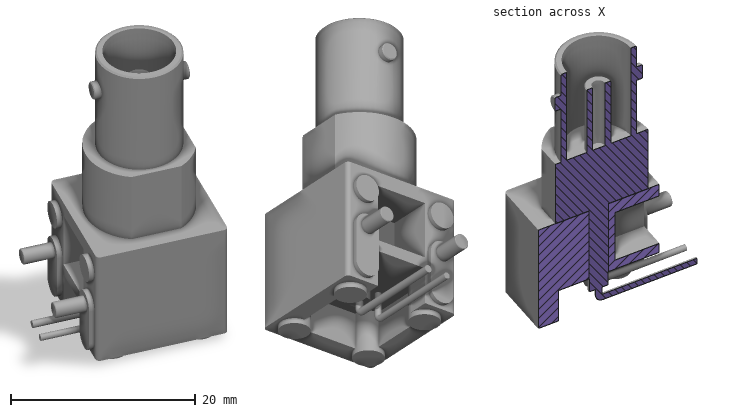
import cadquery as cq
import math


block_width = 14.75
block_depth = 15.2
block_height = 14.12
block_edge_radius = 0.5
foot_height = 0.6
block_top = foot_height + block_height
front_y = -block_depth / 2

corner_offset = 5.05
post_diameter = 3.58

peg_offset = 5.08
pad_diameter = 3.07
pad_thickness = 0.6
round_pad_z = 11.87
peg_z = 7.08
slot_pad_low_z = 2.57
peg_diameter = 1.8
peg_length = 4.15
peg_chamfer = 0.07

window_width = 6.4
window_bottom = 6.3
window_top = 13.0
window_depth = 5.55
cavity_top = 4.95

neck_radius = 6.2
neck_flat_offset = 5.47
neck_height = 8.47
overall_height = 35.75
barrel_diameter = 9.58
barrel_bore_diameter = 8.0
barrel_chamfer = 0.18
lug_diameter = 2.0
lug_span = 11.05
lug_chamfer = 0.1
lug_drop = 4.0
insulator_diameter = 3.07
insulator_drop = 3.6
insulator_chamfer = 0.1
socket_diameter = 1.55

stem_diameter = 2.43
stem_bottom = 3.07
centre_pin_diameter = 0.85
ground_pin_diameter = 0.75
ground_pin_x = 2.55
pin_z = 1.68
pin_bend_radius = 0.57
pin_reach = 4.8

neck_top = block_top + neck_height
pin_end_y = front_y - pin_reach


def upright_cylinder(diameter, bottom, top, x=0, y=0):
    return cq.Workplane("XY", origin=(x, y, bottom)).circle(diameter / 2).extrude(top - bottom)


def box_between(width, y_min, y_max, z_min, z_max):
    """Box centred on X = 0."""
    base = cq.Workplane("XY", origin=(0, y_min, z_min))
    return base.box(width, y_max - y_min, z_max - z_min, centered=(True, False, False))


def front_plane(x=0, z=0):
    """Work plane on the board side of the block, extruding outwards (-Y)."""
    return cq.Workplane("XZ", origin=(x, front_y, z))


def make_board_side_features(x):
    """Round pad, slot pad and board peg on one side of the block."""
    pad_length = peg_z - slot_pad_low_z + pad_diameter
    pad_centre_z = (peg_z + slot_pad_low_z) / 2
    round_pad = front_plane(x, round_pad_z).circle(pad_diameter / 2).extrude(pad_thickness)
    slot_pad = front_plane(x, pad_centre_z).slot2D(pad_length, pad_diameter, 90).extrude(pad_thickness)
    peg = front_plane(x, peg_z).circle(peg_diameter / 2).extrude(peg_length).faces("<Y").chamfer(peg_chamfer)
    return round_pad.union(slot_pad).union(peg)


def make_cavity():
    """Cavity open at the bottom and, through a slot, at the board side; corner posts stay standing."""
    cavity = box_between(2 * corner_offset, -corner_offset, corner_offset, foot_height, cavity_top)
    for x in (-corner_offset, corner_offset):
        for y in (-corner_offset, corner_offset):
            cavity = cavity.cut(upright_cylinder(post_diameter, foot_height, cavity_top, x, y))
    return cavity.union(box_between(window_width, front_y, 0, foot_height, cavity_top))


def make_housing():
    body = box_between(block_width, front_y, -front_y, foot_height, block_top)
    body = body.edges("|Z").fillet(block_edge_radius)
    body = body.cut(make_cavity())
    body = body.cut(box_between(window_width, front_y, front_y + window_depth, window_bottom, window_top))
    for x in (-peg_offset, peg_offset):
        body = body.union(make_board_side_features(x))
    for x in (-corner_offset, corner_offset):
        for y in (-corner_offset, corner_offset):
            body = body.union(upright_cylinder(post_diameter, 0, foot_height, x, y))
    body = body.cut(upright_cylinder(stem_diameter, cavity_top, block_top))
    return body.cut(upright_cylinder(ground_pin_diameter, cavity_top, block_top, ground_pin_x))


def make_neck():
    """Round neck with flats on the -X, +X and +Y sides."""
    flat_end = math.sqrt(neck_radius**2 - neck_flat_offset**2)
    diagonal = neck_radius * math.sqrt(0.5)
    return (
        cq.Workplane("XY", origin=(0, 0, block_top))
        .moveTo(neck_flat_offset, -flat_end)
        .lineTo(neck_flat_offset, flat_end)
        .threePointArc((diagonal, diagonal), (flat_end, neck_flat_offset))
        .lineTo(-flat_end, neck_flat_offset)
        .threePointArc((-diagonal, diagonal), (-neck_flat_offset, flat_end))
        .lineTo(-neck_flat_offset, -flat_end)
        .threePointArc((0, -neck_radius), (neck_flat_offset, -flat_end))
        .close()
        .extrude(neck_height)
    )


def make_barrel():
    """Barrel with bayonet lugs, and the insulator standing in its bore."""
    barrel = upright_cylinder(barrel_diameter, neck_top, overall_height).faces(">Z").chamfer(barrel_chamfer)
    lugs = (
        cq.Workplane("XZ", origin=(0, lug_span / 2, overall_height - lug_drop))
        .circle(lug_diameter / 2)
        .extrude(lug_span)
        .faces("<Y or >Y")
        .chamfer(lug_chamfer)
    )
    bore = upright_cylinder(barrel_bore_diameter, neck_top, overall_height)
    insulator_top = overall_height - insulator_drop
    insulator = upright_cylinder(insulator_diameter, neck_top, insulator_top)
    insulator = insulator.faces(">Z").chamfer(insulator_chamfer)
    insulator = insulator.cut(upright_cylinder(socket_diameter, neck_top, insulator_top))
    return barrel.union(lugs).cut(bore).union(insulator)


def make_pin(x, diameter, top):
    """Round pin running down, then bent towards the board side."""
    bend_middle = pin_bend_radius * (1 - math.sqrt(0.5))
    path = (
        cq.Workplane("YZ", origin=(x, 0, 0))
        .moveTo(0, top)
        .lineTo(0, pin_z + pin_bend_radius)
        .threePointArc((-bend_middle, pin_z + bend_middle), (-pin_bend_radius, pin_z))
        .lineTo(pin_end_y, pin_z)
    )
    return cq.Workplane("XY", origin=(x, 0, top)).circle(diameter / 2).sweep(path)


def make_connector():
    stem = upright_cylinder(stem_diameter, stem_bottom, block_top)
    centre_pin = make_pin(0, centre_pin_diameter, stem_bottom)
    ground_pin = make_pin(ground_pin_x, ground_pin_diameter, block_top)
    return make_neck().union(make_barrel()).union(stem).union(centre_pin).union(ground_pin)


housing = make_housing()
connector = make_connector()

result = cq.Compound.makeCompound([housing.solids().val(), connector.solids().val()])